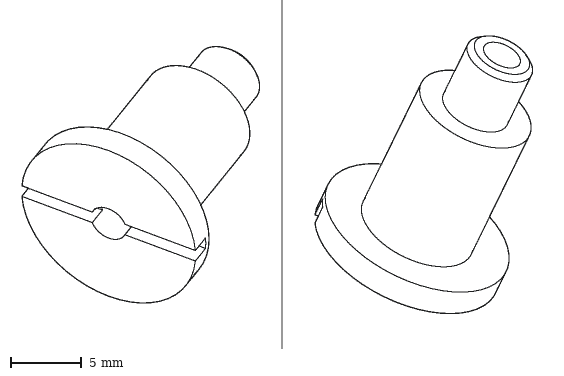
import cadquery as cq

total_length = 18.0
head_diameter = 14.0
head_thickness = 2.0
shoulder_diameter = 8.5
tip_diameter = 5.0
tip_length = 5.0
tip_chamfer = 0.4
bore_diameter = 2.8
slot_width = 1.0
slot_depth = 1.5

shoulder_end = total_length - tip_length


def cylinder_along_y(diameter, start, end):
    """Solid cylinder on the Y axis between two Y positions."""
    plane = cq.Workplane("XZ", origin=(0, start, 0))
    return plane.circle(diameter / 2).extrude(start - end)


head = cylinder_along_y(head_diameter, 0, head_thickness)
shoulder = cylinder_along_y(shoulder_diameter, 0, shoulder_end)
tip = cylinder_along_y(tip_diameter, 0, total_length).faces(">Y").chamfer(tip_chamfer)
body = head.union(shoulder).union(tip)

bore = cylinder_along_y(bore_diameter, 0, total_length)

slot = cq.Workplane("XY").box(
    head_diameter, slot_depth, slot_width, centered=(True, False, True)
)

result = body.cut(bore).cut(slot)